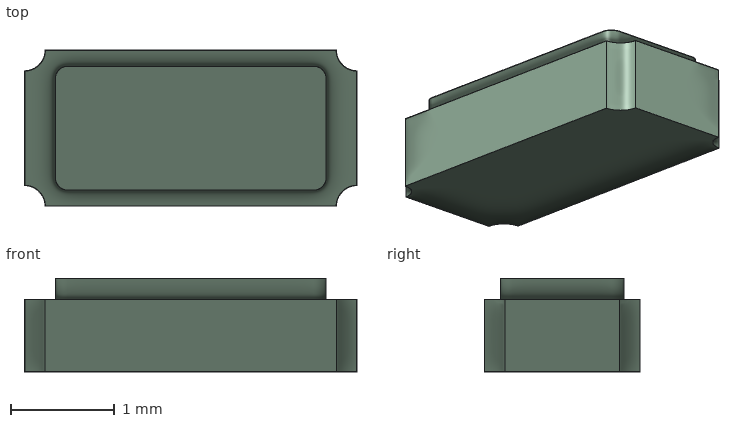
import cadquery as cq

body_length = 3.2
body_width = 1.5
body_height = 0.698
notch_radius = 0.2

total_height = 0.9
lid_height = total_height - body_height
lid_length = 2.605
lid_width = 1.19
lid_corner_radius = 0.115


def make_body():
    body = cq.Workplane("XY").box(body_length, body_width, body_height, centered=(True, True, False))
    notches = (
        cq.Workplane("XY")
        .rect(body_length, body_width, forConstruction=True)
        .vertices()
        .circle(notch_radius)
        .extrude(body_height)
    )
    return body.cut(notches)


def make_lid():
    return (
        cq.Workplane("XY")
        .workplane(offset=body_height)
        .rect(lid_length, lid_width)
        .extrude(lid_height)
        .edges("|Z")
        .fillet(lid_corner_radius)
    )


result = make_body().union(make_lid())